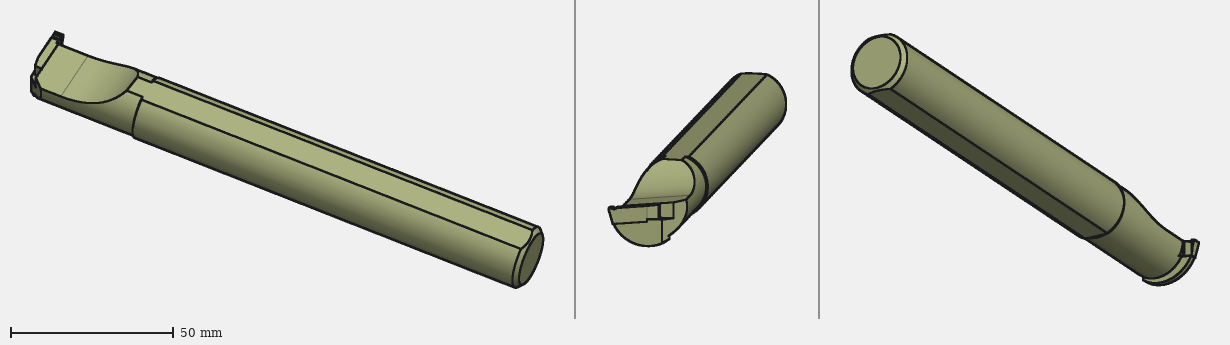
import cadquery as cq
import math

length = 170.0
shank_radius = 10.0
flat_height = 9.2
end_chamfer = 1.5

neck_length = 38.2
neck_radius = 9.7
neck_offset = 0.2

rake_angle = 6.0
rake_height = 1.28
runout_start = 13.3
runout_radius = 28.9

flange_radius = 11.5
flange_center_y = 1.9
flange_thickness = 2.0
bevel_start_y = -2.9

pocket_depth = 3.0
insert_thickness = 5.0
insert_step_y = 1.9
insert_level_z = -3.0
insert_end_y = -1.7
insert_end_x = 0.7
tip_y = 14.0
tip_width = 2.9
tip_land = 1.0
blade_width = 2.4
clearance_angle = 16.0
groove_width = 1.7
groove_depth = 0.3

clear = 34.0
rake_slope = math.tan(math.radians(rake_angle))


def rake_z(y):
    """Height of the rake face at a given y."""
    return rake_height - y * rake_slope


def along_x(points, start, end):
    """Prism along X from an outline of (y, z) points."""
    prism = cq.Workplane("YZ").polyline(points).close().extrude(end - start)
    return prism.translate((start, 0, 0))


def along_z(points):
    """Tall prism along Z from an outline of (x, y) points."""
    return cq.Workplane("XY").polyline(points).close().extrude(clear, both=True)


def make_bar():
    """Shank and neck with flats on the top and bottom, chamfered at the far end."""
    shank = (
        cq.Workplane("YZ", origin=(neck_length, 0, 0))
        .circle(shank_radius)
        .extrude(length - neck_length)
        .faces(">X")
        .chamfer(end_chamfer)
        .intersect(cq.Workplane("XY").box(2 * length, clear, 2 * flat_height))
    )
    neck = cq.Workplane("YZ").center(neck_offset, 0).circle(neck_radius).extrude(neck_length)
    above_flat = (
        cq.Workplane("XY", origin=(0, 0, flat_height))
        .box(neck_length, clear, clear, centered=(False, True, False))
    )
    return shank.union(neck.cut(above_flat))


def make_rake_cutter():
    """Space above the rake face, ending in a concave cylindrical run-out."""
    rise = 2 * flat_height
    run = math.sqrt(runout_radius**2 - (runout_radius - rise) ** 2)
    half_angle = math.acos(1 - rise / runout_radius) / 2
    arc_middle = (
        runout_start + runout_radius * math.sin(half_angle),
        runout_radius * (1 - math.cos(half_angle)),
    )
    return (
        cq.Workplane("XZ")
        .moveTo(0, 0)
        .lineTo(runout_start, 0)
        .threePointArc(arc_middle, (runout_start + run, rise))
        .lineTo(0, rise)
        .close()
        .extrude(clear, both=True)
        .rotate((0, 0, 0), (1, 0, 0), -rake_angle)
        .translate((0, 0, rake_height))
    )


def make_bevel_cutter():
    """Space outside the 45 degree bevel on the -Y corner of the head."""
    return along_z([(0, bevel_start_y), (clear, bevel_start_y - clear), (0, bevel_start_y - clear)])


def insert_outline(y_max, y_min):
    """Side outline shared by the insert and its pocket, from y_max to y_min."""
    return [
        (y_max, rake_z(y_max)),
        (y_max, rake_z(y_max) - insert_thickness),
        (insert_step_y, rake_z(insert_step_y) - insert_thickness),
        (insert_step_y, insert_level_z),
        (y_min, insert_level_z),
        (y_min, rake_z(y_min)),
    ]


def make_holder():
    """Boring bar with the flanged head and the insert pocket."""
    flange = (
        cq.Workplane("YZ")
        .center(flange_center_y, 0)
        .circle(flange_radius)
        .extrude(flange_thickness)
    )
    pocket = along_x(insert_outline(clear, -clear), 0, pocket_depth)
    return (
        make_bar()
        .union(flange)
        .cut(make_rake_cutter())
        .cut(make_bevel_cutter())
        .cut(pocket)
    )


def make_insert():
    """Grooving insert with a wide tip, a narrower blade and a chip groove."""
    insert = along_x(insert_outline(tip_y, insert_end_y), 0, pocket_depth)

    end_relief = along_z([(0, insert_step_y), (insert_end_x, insert_end_y), (0, insert_end_y)])

    land_y = tip_y - tip_land
    blade_sides = along_z([
        (tip_width, tip_y),
        (tip_width, land_y),
        (blade_width, land_y),
        (blade_width, shank_radius),
        (pocket_depth, shank_radius),
        (pocket_depth, tip_y),
    ])

    tip_z = rake_z(tip_y)
    drop = 2 * insert_thickness
    clearance_y = tip_y - drop * math.tan(math.radians(clearance_angle))
    tip_clearance = along_x(
        [(tip_y, tip_z), (clearance_y, tip_z - drop), (tip_y, tip_z - drop)], 0, pocket_depth
    )

    groove_y = land_y - groove_width
    chip_groove = along_x(
        [
            (land_y, rake_z(land_y)),
            (land_y - groove_width / 2, rake_z(land_y - groove_width / 2) - groove_depth),
            (groove_y, rake_z(groove_y)),
        ],
        0,
        pocket_depth,
    )
    return insert.cut(end_relief).cut(blade_sides).cut(tip_clearance).cut(chip_groove)


holder = make_holder()
insert = make_insert()

result = cq.Compound.makeCompound([holder.solids().val(), insert.solids().val()])